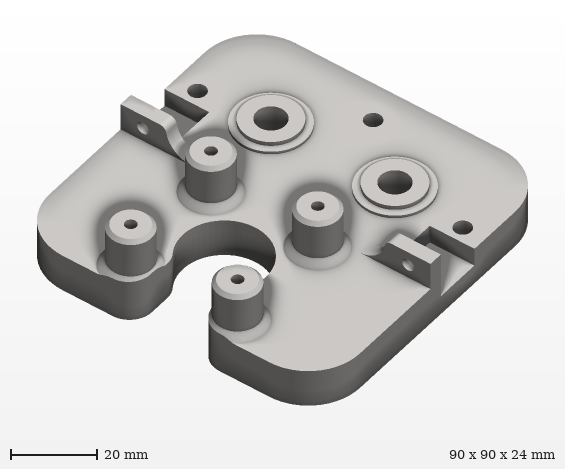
import cadquery as cq

PLATE_SIZE = 90.0
PLATE_THICKNESS = 11.0
PLATE_CORNER_RADIUS = 15.0
HALF_SIZE = PLATE_SIZE / 2
OVERALL_HEIGHT = 24.0

KEYHOLE_DIAMETER = 24.0
KEYHOLE_Y = -22.5
SLOT_WIDTH = 18.0
SLOT_CORNER_RADIUS = 6.5

POST_SPACING = 31.0
POST_DIAMETER = 12.0
POST_TOP_CHAMFER = 1.0
POST_FOOT_DIAMETER = 16.0
POST_FOOT_HEIGHT = 2.0
POST_HOLE_DIAMETER = 3.2

BOSS_X = 18.0
BOSS_Y = 19.5
BOSS_BASE_DIAMETER = 20.0
BOSS_BASE_HEIGHT = 0.8
BOSS_TOP_DIAMETER = 16.0
BOSS_HEIGHT = 2.0
BOSS_HOLE_DIAMETER = 8.2

MOUNT_HOLE_DIAMETER = 4.8
REAR_MOUNT_HOLE_Y = 35.0
SIDE_MOUNT_HOLE_X = 38.5
SIDE_MOUNT_HOLE_Y = 18.4

POCKET_SIZE = 13.0
POCKET_DEPTH = 5.3
POCKET_FRONT_Y = 1.3

LUG_HEIGHT = 8.0
LUG_THICKNESS = 4.0
LUG_LENGTH = 20.7
LUG_SWEEP_RADIUS = 7.5
LUG_CORNER_RADIUS = 2.0
LUG_HOLE_DIAMETER = 3.4
LUG_HOLE_X = SIDE_MOUNT_HOLE_X
LUG_HOLE_HEIGHT = LUG_HEIGHT / 2


def disc(x, y, bottom, diameter, height):
    """Upright cylinder centred on (x, y)."""
    return cq.Workplane("XY", origin=(x, y, bottom)).circle(diameter / 2).extrude(height)


def make_blank(height):
    """Plate outline with rounded corners and the keyhole, extruded from Z = 0."""
    slot_length = KEYHOLE_Y + HALF_SIZE
    blank = cq.Workplane("XY").rect(PLATE_SIZE, PLATE_SIZE).extrude(height)
    blank = blank.edges("|Z").fillet(PLATE_CORNER_RADIUS)
    slot = (
        cq.Workplane("XY")
        .center(0, KEYHOLE_Y - slot_length / 2)
        .rect(SLOT_WIDTH, slot_length)
        .extrude(height)
    )
    blank = blank.cut(slot).cut(disc(0, KEYHOLE_Y, 0, KEYHOLE_DIAMETER, height))
    slot_corners = cq.selectors.BoxSelector(
        (-SLOT_WIDTH, -PLATE_SIZE, -height),
        (SLOT_WIDTH, KEYHOLE_Y, 2 * height),
    )
    return blank.edges("|Z").edges(slot_corners).fillet(SLOT_CORNER_RADIUS)


def make_post(x, y):
    """Post with a chamfered top and a conical foot."""
    post = disc(x, y, 0, POST_DIAMETER, OVERALL_HEIGHT).faces(">Z").chamfer(POST_TOP_CHAMFER)
    foot = (
        cq.Workplane("XY", origin=(x, y, PLATE_THICKNESS))
        .circle(POST_FOOT_DIAMETER / 2)
        .workplane(offset=POST_FOOT_HEIGHT)
        .circle(POST_DIAMETER / 2)
        .loft(ruled=True)
    )
    return post.union(foot)


def make_boss(x, y):
    """Low boss in two steps."""
    base = disc(x, y, 0, BOSS_BASE_DIAMETER, PLATE_THICKNESS + BOSS_BASE_HEIGHT)
    top = disc(x, y, 0, BOSS_TOP_DIAMETER, PLATE_THICKNESS + BOSS_HEIGHT)
    return base.union(top)


def make_pocket():
    """Cutter for the square pocket at the left edge."""
    block = cq.Workplane("XY").box(POCKET_SIZE, POCKET_SIZE, POCKET_DEPTH, centered=False)
    return block.translate((-HALF_SIZE, POCKET_FRONT_Y, PLATE_THICKNESS - POCKET_DEPTH))


def make_lug():
    """Left lug: rounded top corner, then a concave sweep down to the plate."""
    toe_x = -HALF_SIZE + LUG_LENGTH
    top_z = PLATE_THICKNESS + LUG_HEIGHT
    sweep_z = PLATE_THICKNESS + LUG_SWEEP_RADIUS
    corner_z = top_z - LUG_CORNER_RADIUS
    centre_distance = LUG_SWEEP_RADIUS + LUG_CORNER_RADIUS
    rise = sweep_z - corner_z
    run = (centre_distance**2 - rise**2) ** 0.5
    corner_x = toe_x - run
    blend = LUG_SWEEP_RADIUS / centre_distance
    blend_point = (toe_x - run * blend, sweep_z - rise * blend)

    lug = (
        cq.Workplane("XZ", origin=(0, POCKET_FRONT_Y, 0))
        .moveTo(-HALF_SIZE, 0)
        .lineTo(-HALF_SIZE, top_z)
        .lineTo(corner_x, top_z)
        .radiusArc(blend_point, LUG_CORNER_RADIUS)
        .radiusArc((toe_x, PLATE_THICKNESS), -LUG_SWEEP_RADIUS)
        .lineTo(toe_x, 0)
        .close()
        .extrude(LUG_THICKNESS)
    )
    hole = (
        cq.Workplane("XZ", origin=(-LUG_HOLE_X, POCKET_FRONT_Y, PLATE_THICKNESS + LUG_HOLE_HEIGHT))
        .circle(LUG_HOLE_DIAMETER / 2)
        .extrude(LUG_THICKNESS)
    )
    return lug.cut(hole)


post_offset = POST_SPACING / 2
post_points = [
    (side * post_offset, KEYHOLE_Y + end * post_offset) for side in (-1, 1) for end in (-1, 1)
]
boss_points = [(-BOSS_X, BOSS_Y), (BOSS_X, BOSS_Y)]
mount_points = [
    (0, REAR_MOUNT_HOLE_Y),
    (-SIDE_MOUNT_HOLE_X, SIDE_MOUNT_HOLE_Y),
    (SIDE_MOUNT_HOLE_X, SIDE_MOUNT_HOLE_Y),
]

body = make_blank(PLATE_THICKNESS)
pocket = make_pocket()
lug = make_lug()
body = body.cut(pocket).cut(pocket.mirror("YZ"))
body = body.union(lug).union(lug.mirror("YZ"))

outline = make_blank(OVERALL_HEIGHT)
for x, y in post_points:
    body = body.union(make_post(x, y).intersect(outline))
for x, y in boss_points:
    body = body.union(make_boss(x, y))

hole_groups = [
    (post_points, POST_HOLE_DIAMETER),
    (boss_points, BOSS_HOLE_DIAMETER),
    (mount_points, MOUNT_HOLE_DIAMETER),
]
for points, diameter in hole_groups:
    for x, y in points:
        body = body.cut(disc(x, y, 0, diameter, OVERALL_HEIGHT))

result = body